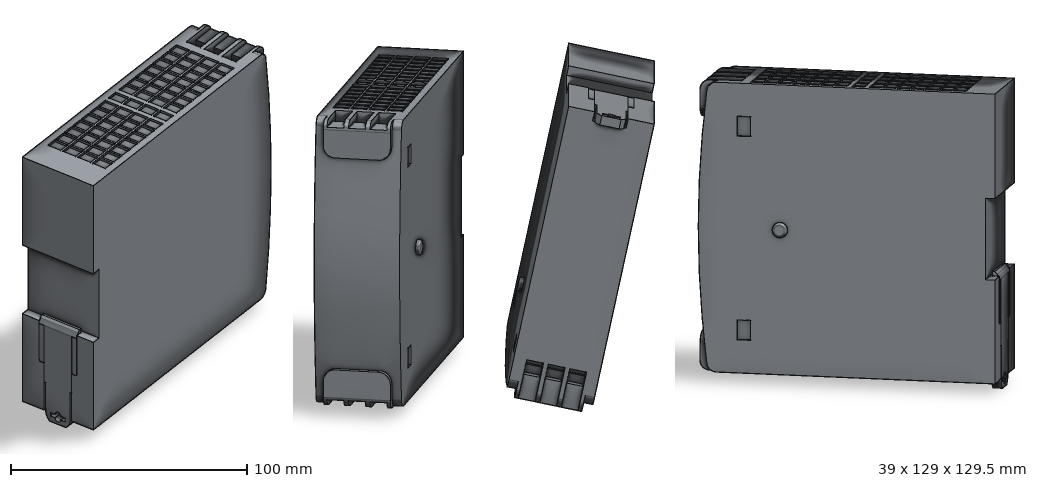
import cadquery as cq
import math


WIDTH = 37.0
HEIGHT = 125.0
CORNER_DEPTH = 124.6
CROWN_DEPTH = 128.9
EDGE_RADIUS = 4.0
MID_X = WIDTH / 2
MID_Z = HEIGHT / 2

NOTCH_DEPTH = 4.1
NOTCH_BOTTOM = 44.8
NOTCH_HEIGHT = 35.1

TERMINAL_FRONT = 129.0
TERMINAL_WIDTH = 29.0
TERMINAL_HEIGHT = 16.2
TERMINAL_ROOT = 110.1
TERMINAL_CORNER_RADIUS = 5.0
SLOT_COUNT = 3
SLOT_WIDTH = 7.3
SLOT_PITCH = 9.3
SLOT_STEPS = [(118.1, 3.0), (114.6, 7.8), (111.1, 10.4)]

VENT_LENGTH_X = 6.7
VENT_LENGTH_Y = 5.2
VENT_DEPTH = 1.0
VENT_COLUMNS = 4
VENT_PITCH_X = 7.8
VENT_PITCH_Y = 6.1
VENT_GROUP_ROWS = 7
VENT_GROUP_OFFSET = 7.5
VENT_MID_Y = 60.2

POCKET_LENGTH_Y = 6.0
POCKET_HEIGHT = 8.5
POCKET_DEPTH = 1.3
POCKET_Y = 109.0
POCKET_OFFSET_Z = 43.9

KNOB_RADIUS = 3.2
KNOB_LENGTH = 2.0
KNOB_ROUNDING = 1.0
KNOB_Y = 93.2

BLADE_WIDTH = 14.5
BLADE_THICKNESS = NOTCH_DEPTH
BLADE_DROP = 4.5
SHOULDER_Z = 14.2
SHOULDER_INSET = 0.9
FOOT_RADIUS = 5.8
HEAD_WIDTH = 19.7
HEAD_THICKNESS = 3.1
HEAD_BOTTOM = 24.1
HEAD_TOP = 46.7
HEAD_CORNER_RADIUS = 0.9
HEAD_SETBACK = 0.1
RAMP_TOP_Y = 2.1
RAMP_ARC_RADIUS = 3.5
RAMP_ANGLE = math.radians(45)
RAMP_ARC_SETBACK = RAMP_ARC_RADIUS * (1 - math.cos(RAMP_ANGLE))
RAMP_ARC_RISE = RAMP_ARC_RADIUS * math.sin(RAMP_ANGLE)
RAMP_FOOT = HEAD_TOP - RAMP_ARC_RISE - (RAMP_TOP_Y - RAMP_ARC_SETBACK) / math.tan(RAMP_ANGLE)
KEYHOLE_Z = -0.8
KEYHOLE_SLOT_LENGTH = 7.6
KEYHOLE_SLOT_HEIGHT = 1.7
KEYHOLE_LENGTH = 4.8
KEYHOLE_WIDTH = 3.0

RELIEF_BOTTOM = 7.0
RELIEF_DEPTH = 5.2


def block(x_size, y_size, z_size, x_mid, y_min, z_min):
    """Box centred on x_mid, starting at y_min and z_min."""
    corner = (x_mid - x_size / 2, y_min, z_min)
    return cq.Workplane("XY").box(x_size, y_size, z_size, centered=False).translate(corner)


def mirrored_in_height(shape):
    """Copy of a shape mirrored about the mid-height of the housing."""
    return shape.mirror("XY", (0, 0, MID_Z))


def make_shell():
    shell = (
        cq.Workplane("YZ")
        .lineTo(CORNER_DEPTH, 0)
        .threePointArc((CROWN_DEPTH, MID_Z), (CORNER_DEPTH, HEIGHT))
        .lineTo(0, HEIGHT)
        .close()
        .extrude(WIDTH)
    )
    front_edges = cq.selectors.BoxSelector(
        (-1.3, CORNER_DEPTH - 1.3, -1.3), (WIDTH + 1.3, CORNER_DEPTH + 1.3, HEIGHT + 1.3)
    )
    shell = shell.edges("|X").edges(front_edges).fillet(EDGE_RADIUS)
    return shell.cut(block(WIDTH, NOTCH_DEPTH, NOTCH_HEIGHT, MID_X, 0, NOTCH_BOTTOM))


def make_terminal_block():
    """Upper terminal block: rounded lower corners and a rounded top front edge."""
    length = TERMINAL_FRONT - TERMINAL_ROOT
    terminal = block(
        TERMINAL_WIDTH, length, TERMINAL_HEIGHT, MID_X, TERMINAL_ROOT, HEIGHT - TERMINAL_HEIGHT
    )
    terminal = terminal.edges("|Y and <Z").fillet(TERMINAL_CORNER_RADIUS)
    return terminal.edges("|X and >Y and >Z").fillet(EDGE_RADIUS)


def make_terminal_slots():
    """Stepped slots of the upper terminal block, open at the front and the top."""
    slots = cq.Workplane("XY")
    for index in range(SLOT_COUNT):
        x_mid = MID_X + (index - (SLOT_COUNT - 1) / 2) * SLOT_PITCH
        step_end = TERMINAL_FRONT
        for step_start, depth in SLOT_STEPS:
            step = block(SLOT_WIDTH, step_end - step_start, depth, x_mid, step_start, HEIGHT - depth)
            slots = slots.add(step)
            step_end = step_start
    return slots.combine()


def make_vents():
    """Shallow rectangular recesses in the top: a middle row with a group of rows on each side."""
    rows = [0]
    for index in range(VENT_GROUP_ROWS):
        offset = VENT_GROUP_OFFSET + index * VENT_PITCH_Y
        rows += [offset, -offset]
    centres = []
    for column in range(VENT_COLUMNS):
        x = MID_X + (column - (VENT_COLUMNS - 1) / 2) * VENT_PITCH_X
        centres += [(x, VENT_MID_Y + row) for row in rows]
    return (
        cq.Workplane("XY", origin=(0, 0, HEIGHT))
        .pushPoints(centres)
        .rect(VENT_LENGTH_X, VENT_LENGTH_Y)
        .extrude(-VENT_DEPTH)
    )


def make_side_pockets():
    return (
        cq.Workplane("YZ")
        .pushPoints([(POCKET_Y, MID_Z + POCKET_OFFSET_Z), (POCKET_Y, MID_Z - POCKET_OFFSET_Z)])
        .rect(POCKET_LENGTH_Y, POCKET_HEIGHT)
        .extrude(POCKET_DEPTH)
    )


def make_knob():
    knob = cq.Workplane("YZ").center(KNOB_Y, MID_Z).circle(KNOB_RADIUS).extrude(-KNOB_LENGTH)
    return knob.faces("<X").edges().fillet(KNOB_ROUNDING)


def make_head_recess():
    """Space for the clip head below the rail notch."""
    recess = block(HEAD_WIDTH, HEAD_THICKNESS, HEAD_TOP - HEAD_BOTTOM, MID_X, 0, HEAD_BOTTOM)
    return recess.edges("|Y and <Z").fillet(HEAD_CORNER_RADIUS)


def make_clip_channel():
    """Head recess, straight channel for the blade, and the deeper relief behind its tip."""
    channel = block(BLADE_WIDTH, BLADE_THICKNESS, RAMP_FOOT, MID_X, 0, 0)
    relief = block(BLADE_WIDTH, RELIEF_DEPTH, SHOULDER_Z - RELIEF_BOTTOM, MID_X, 0, RELIEF_BOTTOM)
    return channel.union(relief).union(make_head_recess())


def make_housing():
    terminal = make_terminal_block()
    slots = make_terminal_slots()
    housing = make_shell().union(terminal).union(mirrored_in_height(terminal))
    housing = housing.cut(slots).cut(mirrored_in_height(slots))
    housing = housing.cut(make_vents()).cut(make_side_pockets()).cut(make_clip_channel())
    return housing.union(make_knob())


def make_head():
    """Clip head: the recess shape with a 45 degree ramp, rounded at its foot, along the top."""
    ramp_waste = (
        cq.Workplane("YZ")
        .moveTo(0, RAMP_FOOT)
        .radiusArc((RAMP_ARC_SETBACK, RAMP_FOOT + RAMP_ARC_RISE), RAMP_ARC_RADIUS)
        .lineTo(RAMP_TOP_Y, HEAD_TOP)
        .lineTo(0, HEAD_TOP)
        .close()
        .extrude(WIDTH)
    )
    wing_waste = block(HEAD_WIDTH, HEAD_SETBACK, RAMP_FOOT - HEAD_BOTTOM, MID_X, 0, HEAD_BOTTOM)
    return make_head_recess().cut(ramp_waste).cut(wing_waste)


def make_blade():
    """Clip blade: straight below the head, with a shoulder to a narrower tip and a rounded foot."""
    half = BLADE_WIDTH / 2
    tip_half = half - SHOULDER_INSET
    foot_inset = FOOT_RADIUS - math.sqrt(FOOT_RADIUS**2 - BLADE_DROP**2)
    foot_half = tip_half - foot_inset
    return (
        cq.Workplane("XZ", origin=(MID_X, 0, 0))
        .moveTo(-half, RAMP_FOOT)
        .lineTo(-half, SHOULDER_Z)
        .lineTo(-tip_half, SHOULDER_Z)
        .lineTo(-tip_half, 0)
        .radiusArc((-foot_half, -BLADE_DROP), -FOOT_RADIUS)
        .lineTo(foot_half, -BLADE_DROP)
        .radiusArc((tip_half, 0), -FOOT_RADIUS)
        .lineTo(tip_half, SHOULDER_Z)
        .lineTo(half, SHOULDER_Z)
        .lineTo(half, RAMP_FOOT)
        .close()
        .extrude(-BLADE_THICKNESS)
    )


def make_keyhole():
    """Cross-shaped release hole through the foot."""
    plane = cq.Workplane("XZ", origin=(MID_X, 0, KEYHOLE_Z))
    flat_slot = plane.rect(KEYHOLE_SLOT_LENGTH, KEYHOLE_SLOT_HEIGHT).extrude(-BLADE_THICKNESS)
    return flat_slot.union(plane.slot2D(KEYHOLE_LENGTH, KEYHOLE_WIDTH, 90).extrude(-BLADE_THICKNESS))


def make_clip():
    return make_blade().union(make_head()).cut(make_keyhole())


housing = make_housing()
clip = make_clip()
result = cq.Compound.makeCompound([housing.val(), clip.val()])